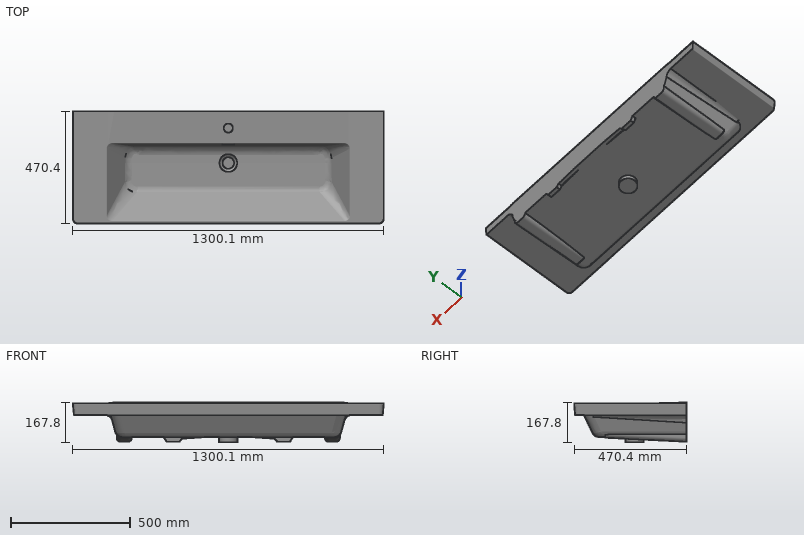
import cadquery as cq
import math


width = 1300.08
depth = 470.43
total_height = 167.84
deck_rise = 3.5
slab_height = 50.0
slab_band_height = 6.0
slab_draft = 4.0
slab_corner_radius = 21.0
slab_edge_radius = 3.0

ledge_half_width = 477.0
ledge_taper = 25.0
ledge_depth = 135.0

basin_half_width = 508.0
basin_back = -135.0
basin_front = -459.0
basin_corner_radius = 22.0
basin_depth = 120.0
back_wall_angle = 8.0
end_wall_angle = 36.0
front_wall_angle = 48.0
floor_corner_radius = 50.0
floor_slope = 1.5
floor_blend_radius = 36.0
basin_rim_radius = 2.5

bowl_half_width = 492.0
bowl_front = -430.0
bowl_bottom = -142.0
bowl_bottom_half_width = 467.0
bowl_bottom_front = -385.0
bowl_corner_radius = 40.0
bowl_bottom_radius = 32.0
bowl_flare = 17.0
flare_back_height = 32.0
flare_front_height = 8.0

feet_bottom = -162.0
feet_depth = 18.0
runner_center = 435.0
runner_half_width = 32.0
runner_front = -340.0
runner_front_bottom = -145.0
runner_edge_radius = 18.0
inner_foot_outer = 258.0
inner_foot_inner = 205.0
inner_foot_slope = 12.0
ramp_end = 90.0
ramp_drop = 7.0

drain_y = -217.0
drain_boss_radius = 39.0
drain_recess_radius = 37.0
drain_recess_depth = 10.0
drain_radius = 24.0
tap_hole_y = -71.0
tap_hole_diameter = 38.0
tap_hole_depth = 5.0
overflow_length = 50.0
overflow_height = 10.0
overflow_depth = 25.0
overflow_z = -38.0

drain_boss_top = -140.0
drain_bottom = deck_rise - total_height
overlap = 1.0
clearance = 20.0


def prism_along_x(points, half_length):
    """Closed (y, z) outline, extruded symmetrically about X = 0."""
    return cq.Workplane("YZ").polyline(points).close().extrude(half_length, both=True)


def prism_along_y(points, length):
    """Closed (x, z) outline, extruded from the back face towards the front."""
    return cq.Workplane("XZ").polyline(points).close().extrude(length)


def mirrored(half):
    """Add the mirror image across X = 0 to an open outline."""
    return half + [(-x, z) for x, z in reversed(half)]


def make_space_behind():
    """Everything behind the flat back face."""
    return cq.Workplane("XY").box(2 * width, 2 * depth, 4 * total_height, centered=(True, False, True))


def make_slab():
    drafted_height = slab_height - slab_band_height
    draft_angle = math.degrees(math.atan(slab_draft / drafted_height))
    outline = cq.Sketch().rect(width, 2 * depth).vertices().fillet(slab_corner_radius)
    band = cq.Workplane("XY").placeSketch(outline).extrude(-slab_band_height)
    drafted = (
        cq.Workplane("XY").workplane(offset=-slab_band_height)
        .placeSketch(outline).extrude(-drafted_height, taper=draft_angle)
    )
    slab = band.union(drafted)
    slab = slab.faces(">Z or <Z").edges().fillet(slab_edge_radius)
    return slab.cut(make_space_behind())


def make_tap_ledge():
    wedge = prism_along_x(
        [(0, -overlap), (0, deck_rise), (-ledge_depth, 0), (-ledge_depth, -overlap)], width / 2)
    ledge_end = ledge_half_width + ledge_taper
    tapered_ends = prism_along_y(
        mirrored([(ledge_half_width, deck_rise), (ledge_end, 0), (ledge_end, -overlap)]), depth)
    return wedge.intersect(tapered_ends)


def make_bowl():
    top = cq.Sketch().rect(2 * bowl_half_width, -2 * bowl_front)
    top = top.vertices().fillet(bowl_corner_radius)
    bottom = cq.Sketch().rect(2 * bowl_bottom_half_width, -2 * bowl_bottom_front)
    bottom = bottom.vertices().fillet(bowl_corner_radius)
    bowl = cq.Workplane("XY").placeSketch(
        top.moved(cq.Location(cq.Vector(0, 0, overlap - slab_height))),
        bottom.moved(cq.Location(cq.Vector(0, 0, bowl_bottom))),
    ).loft(ruled=True)
    return bowl.faces("<Z").edges().fillet(bowl_bottom_radius).cut(make_space_behind())


def flare_section(side, height, y):
    """Concave corner fillet section where the bowl's end wall meets the slab, in the plane at y."""
    inner = bowl_half_width - bowl_flare
    outer = bowl_half_width + bowl_flare
    wall_x = bowl_half_width - height * (
        (bowl_half_width - bowl_bottom_half_width) / (-slab_height - bowl_bottom))
    hollow_x = (2 * bowl_half_width + wall_x + outer) / 4
    section = (
        cq.Workplane("XZ", origin=(0, y, -slab_height))
        .moveTo(side * inner, overlap)
        .lineTo(side * outer, overlap)
        .lineTo(side * outer, 0)
        .threePointArc((side * hollow_x, -height / 4), (side * wall_x, -height))
        .lineTo(side * inner, -height)
        .close()
    )
    return section.val()


def make_bowl_flare(side):
    """Concave blend under the slab along one end of the bowl, tallest at the back."""
    return cq.Workplane(cq.Solid.makeLoft([
        flare_section(side, flare_back_height, 0),
        flare_section(side, flare_front_height, bowl_front + bowl_corner_radius),
    ], True))


def make_runner(side):
    """Rounded rail under one end of the bowl, sloping up towards the front."""
    top = bowl_bottom + bowl_bottom_radius
    rail = prism_along_x(
        [(0, top), (0, feet_bottom), (runner_front, runner_front_bottom), (runner_front, top)],
        runner_half_width)
    rail = rail.faces("<Z").edges("not(|X)").fillet(runner_edge_radius)
    return rail.translate((side * runner_center, 0, 0))


def make_inner_foot(side):
    """Foot on the back edge with a ramp running towards the drain."""
    top = bowl_bottom + bowl_bottom_radius / 2
    outline = [
        (inner_foot_outer + inner_foot_slope, top),
        (inner_foot_outer + inner_foot_slope, bowl_bottom),
        (inner_foot_outer, feet_bottom),
        (inner_foot_inner, feet_bottom),
        (inner_foot_inner - inner_foot_slope, bowl_bottom - ramp_drop),
        (ramp_end, bowl_bottom),
        (ramp_end, top),
    ]
    return prism_along_y([(side * x, z) for x, z in outline], feet_depth)


def make_drain_boss():
    boss_height = drain_boss_top - drain_bottom
    return (
        cq.Workplane("XY").workplane(offset=drain_bottom)
        .center(0, drain_y).circle(drain_boss_radius).extrude(boss_height)
    )


def make_basin():
    """Solid that is removed from the slab and bowl to form the basin."""
    floor_half_width = basin_half_width - basin_depth * math.tan(math.radians(end_wall_angle))
    floor_back = basin_back - basin_depth * math.tan(math.radians(back_wall_angle))
    floor_front = basin_front + basin_depth * math.tan(math.radians(front_wall_angle))
    opening = cq.Sketch().rect(2 * basin_half_width, basin_back - basin_front)
    opening = opening.vertices().fillet(basin_corner_radius)
    floor = cq.Sketch().rect(2 * floor_half_width, floor_back - floor_front)
    floor = floor.vertices().fillet(floor_corner_radius)
    opening_center = cq.Vector(0, (basin_back + basin_front) / 2, 0)
    floor_center = cq.Vector(0, (floor_back + floor_front) / 2, -basin_depth)
    walls = cq.Workplane("XY").placeSketch(
        opening.moved(cq.Location(opening_center)),
        floor.moved(cq.Location(floor_center)),
    ).loft(ruled=True)

    front_rise = (drain_y + depth) * math.tan(math.radians(floor_slope))
    above_floor = prism_along_x(
        [(0, clearance), (0, -basin_depth), (drain_y, -basin_depth),
         (-depth, front_rise - basin_depth), (-depth, clearance)], width / 2)
    basin = walls.intersect(above_floor)

    near_floor = cq.selectors.BoxSelector(
        (-width, -depth, -basin_depth - overlap), (width, 0, -basin_depth + front_rise + overlap))
    at_drain = cq.selectors.BoxSelector(
        (-width / 4, drain_y - overlap, -basin_depth - overlap),
        (width / 4, drain_y + overlap, -basin_depth + overlap))
    basin = basin.edges(near_floor - at_drain).fillet(floor_blend_radius)

    collar = cq.Workplane("XY").placeSketch(opening.moved(cq.Location(opening_center))).extrude(clearance)
    return basin.union(collar)


def make_drain():
    """Conical recess with a flat floor, carried up through the sloping basin floor."""
    cone = cq.Workplane(cq.Solid.makeCone(
        drain_radius, drain_recess_radius, drain_recess_depth,
        pnt=cq.Vector(0, drain_y, -basin_depth - drain_recess_depth), dir=cq.Vector(0, 0, 1)))
    mouth = (
        cq.Workplane("XY").workplane(offset=-basin_depth)
        .center(0, drain_y).circle(drain_recess_radius).extrude(clearance)
    )
    return cone.union(mouth)


def make_tap_hole():
    return (
        cq.Workplane("XY").workplane(offset=-tap_hole_depth)
        .center(0, tap_hole_y).circle(tap_hole_diameter / 2).extrude(tap_hole_depth + clearance)
    )


def make_overflow():
    return (
        cq.Workplane("XZ", origin=(0, basin_back + overflow_depth, overflow_z))
        .slot2D(overflow_length, overflow_height).extrude(overflow_depth + clearance)
    )


result = make_slab().union(make_tap_ledge()).union(make_bowl())
for end in (-1, 1):
    for make_addition in (make_bowl_flare, make_runner, make_inner_foot):
        result = result.union(make_addition(end))
result = result.union(make_drain_boss())

for cutter in (make_basin(), make_drain(), make_tap_hole(), make_overflow()):
    result = result.cut(cutter)

basin_rim = cq.selectors.BoxSelector(
    (-basin_half_width - overlap, basin_front - overlap, -overlap),
    (basin_half_width + overlap, basin_back + overlap, overlap))
result = result.edges(basin_rim).fillet(basin_rim_radius)